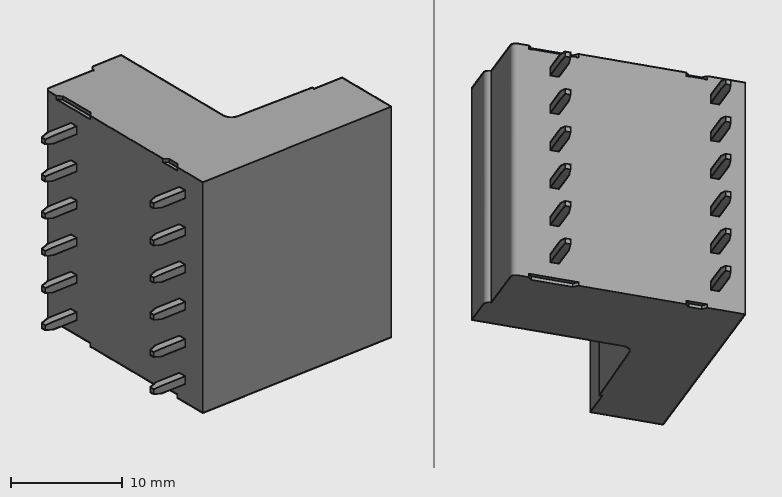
import cadquery as cq

width = 22.7
height = 23.65
overall_depth = 25.4
pin_length = 3.53
body_depth = overall_depth - pin_length

arm_depth = 9.25
foot_inset = 0.55
overhang_y = 5.6
foot_fillet = 0.5
inner_fillet = 0.95
wall_root_x = 15.3
wall_step_x = 15.5
wall_top_x = 15.77
wall_step_y = 18.65

pin_size = 0.81
pin_tip_size = 0.5
pin_tip_length = 0.8
pin_rows = 6
pin_pitch = 3.8
pin_column_spacing = 15.25
first_column_x = 4.57
pin_columns = (first_column_x, first_column_x + pin_column_spacing)

recess_spans = ((2.1, 6.85), (17.07, 19.1))
recess_depth = 0.4
recess_height = 0.35


def make_housing():
    """L-shaped body with a rounded foot, an undercut arm and a stepped wall."""
    profile = (
        cq.Workplane("XY")
        .moveTo(foot_inset, 0)
        .lineTo(width, 0)
        .lineTo(width, body_depth)
        .lineTo(wall_top_x, body_depth)
        .lineTo(wall_top_x, wall_step_y)
        .lineTo(wall_step_x, wall_step_y)
        .lineTo(wall_root_x, arm_depth)
        .lineTo(0, arm_depth)
        .lineTo(0, overhang_y + foot_inset)
        .radiusArc((foot_inset, overhang_y), -foot_inset)
        .close()
    )
    housing = profile.extrude(height)
    housing = round_vertical_edge(housing, foot_inset, 0, foot_fillet)
    return round_vertical_edge(housing, wall_root_x, arm_depth, inner_fillet)


def round_vertical_edge(body, x, y, radius):
    """Fillet the full-height edge that passes through (x, y)."""
    edge = cq.selectors.NearestToPointSelector((x, y, height / 2))
    return body.edges("|Z").edges(edge).fillet(radius)


def make_recess(start_x, end_x, base_z):
    """Cutter for a shallow recess with ends sloping at 45 degrees."""
    return (
        cq.Workplane("XY", origin=(0, 0, base_z))
        .moveTo(start_x, 0)
        .lineTo(end_x, 0)
        .lineTo(end_x - recess_depth, recess_depth)
        .lineTo(start_x + recess_depth, recess_depth)
        .close()
        .extrude(recess_height)
    )


def make_pin(x, z):
    """Square pin with a tapered tip, pointing towards -Y."""
    shank_length = pin_length - pin_tip_length
    shank = cq.Workplane("XZ", origin=(x, 0, z)).rect(pin_size, pin_size).extrude(shank_length)
    tip = (
        cq.Workplane("XZ", origin=(x, -shank_length, z))
        .rect(pin_size, pin_size)
        .workplane(offset=pin_tip_length)
        .rect(pin_tip_size, pin_tip_size)
        .loft(ruled=True)
    )
    return shank.union(tip)


result = make_housing()

for start_x, end_x in recess_spans:
    for base_z in (0, height - recess_height):
        result = result.cut(make_recess(start_x, end_x, base_z))

first_row_z = (height - (pin_rows - 1) * pin_pitch) / 2
for column_x in pin_columns:
    for row in range(pin_rows):
        result = result.union(make_pin(column_x, first_row_z + row * pin_pitch))